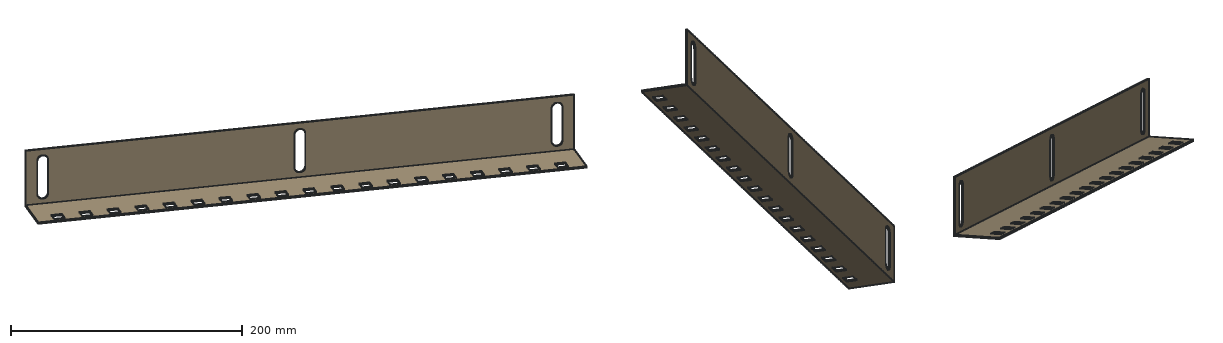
import cadquery as cq

length = 490.0
base_width = 42.0
wall_height = 52.0
thickness = 1.5

hole_count = 19
hole_size = 9.5
hole_end_margin = 20.0
hole_edge_margin = 9.0
hole_pitch = (length - 2 * hole_end_margin) / (hole_count - 1)

slot_count = 3
slot_width = 10.0
slot_length = 40.0
slot_end_margin = 15.0
slot_pitch = (length - 2 * slot_end_margin) / (slot_count - 1)


def make_angle():
    """L profile extruded along Y, centred on Y = 0, outer corner on the Y axis."""
    base = cq.Workplane("XY").box(base_width, length, thickness, centered=(False, True, False))
    wall = cq.Workplane("XY").box(thickness, length, wall_height, centered=(False, True, False))
    return base.union(wall)


def make_square_holes():
    """Row of square cutters passing through the base flange."""
    return (
        cq.Workplane("XY")
        .center(base_width - hole_edge_margin, 0)
        .rarray(5, hole_pitch, 1, hole_count)
        .rect(hole_size, hole_size)
        .extrude(thickness)
    )


def make_slots():
    """Row of round-ended cutters passing through the wall flange."""
    return (
        cq.Workplane("YZ")
        .center(0, wall_height / 2)
        .rarray(slot_pitch, 5, slot_count, 1)
        .slot2D(slot_length, slot_width, 90)
        .extrude(thickness)
    )


result = make_angle().cut(make_square_holes()).cut(make_slots())